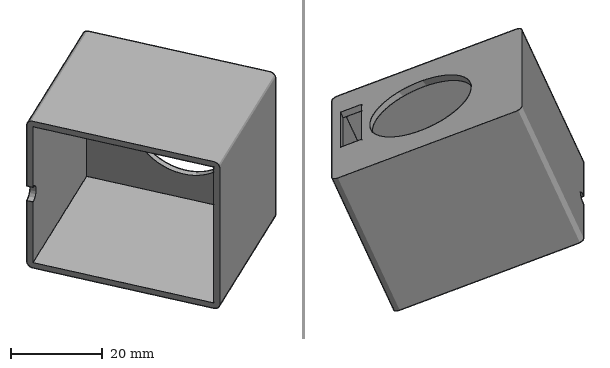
import cadquery as cq

width = 45.0
depth = 35.0
height = 40.0
wall = 1.5
back_thickness = wall
corner_radius = wall

opening_diameter = 24.0
opening_x = 1.5

slot_width = 5.0
slot_height = 17.0
slot_x = 17.9
slot_z = 3.0

notch_radius = 2.0


def along_y(x, y, z):
    """Workplane at the given point whose extrusions run towards +Y."""
    return cq.Workplane("XZ", origin=(x, y, z)).transformed(rotate=(180, 0, 0))


def make_shell():
    outer = along_y(0, 0, 0).rect(width, height).extrude(depth).edges("|Y").fillet(corner_radius)
    cavity = along_y(0, 0, 0).rect(width - 2 * wall, height - 2 * wall).extrude(depth - back_thickness)
    return outer.cut(cavity)


def make_opening():
    return along_y(opening_x, 0, 0).circle(opening_diameter / 2).extrude(depth)


def make_slot():
    return along_y(slot_x, 0, slot_z).rect(slot_width, slot_height).extrude(depth)


def make_notch():
    return cq.Workplane("YZ", origin=(-width / 2, 0, 0)).circle(notch_radius).extrude(wall)


result = make_shell().cut(make_opening()).cut(make_slot()).cut(make_notch())